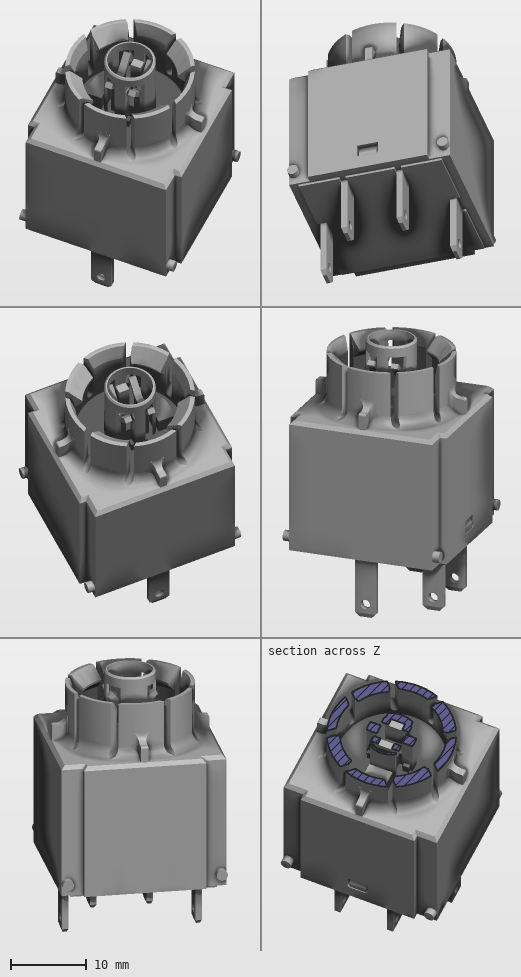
import cadquery as cq
import math

overall_height = 36.25
join_overlap = 0.35
arc_middle = 1 - math.sqrt(0.5)

body_size = 22.2
half_body = body_size / 2
body_height = 18.3
body_chamfer = 0.5
half_front_panel = 10.15
half_side_panel = 8.23
base_size = 19.73
base_thickness = 0.33

peg_diameter = 1.5
peg_y = half_body - peg_diameter / 2
peg_z = 1.75

latch_width = 2.9
latch_catch_width = 2.4
latch_bottom = 1.85
latch_ramp_start = 2.57
latch_top = 3.7
latch_face_depth = 0.1
latch_depth = 0.73
latch_corner = 0.45

pin_width = 2.9
pin_thickness = 0.87
pin_tip = 0.58
pin_tip_thinning = 0.18
pin_hole_diameter = 1.3
pin_hole_from_tip = 1.85
long_pin_length = 8.7
short_pin_length = 8.5
long_pin_y = 8.95
short_pin_x = -7.58
short_pin_y = 3.8

collar_radius = 8.6
bore_radius = 14.7 / 2
collar_top = 25.78
bore_floor = 17.65
flare_radius = 1.45
mouth_radius = 8.0
mouth_depth = 1.8
slot_width = 0.98
slot_offset = 3.0
slot_step = 0.05
slot_floor = body_height + slot_step
hook_radius = 6.3
hook_half_angle = 19.0
hook_lip_height = 0.3

rib_width = 0.98
rib_reach = half_body - body_chamfer
rib_top = 20.5
rib_corner = 0.3
rib_top_fillet = 1.27
rib_side_fillet = 0.5

key_outer_radius = 5.8
key_width = 3.35
key_top = 19.87

tube_radius = 6.8 / 2
tube_bore_radius = 6.05 / 2
tube_top = overall_height - long_pin_length
tube_chamfer = 0.2
window_top = 26.07
window_min_x = 0.73
window_min_y = 1.8

strip_half_x = 2.18
plate_half_y = 1.27
plate_half_x = 1.2
plate_top = 19.95
arm_flat_half = 0.8
arm_flat_z = 23.1
arm_peak_y = 2.85
arm_thickness = 0.73
tab_top = 24.3
tab_foot_y = 2.15
tab_foot_top = 18.85
neck_width = 0.5
tube_overlap = 0.18
wedge_low = 24.48


def box(x0, x1, y0, y1, z0, z1):
    """Box given by its limits along each axis."""
    return cq.Workplane("XY").box(x1 - x0, y1 - y0, z1 - z0, centered=False).translate((x0, y0, z0))


def disc(radius, z0, z1):
    """Cylinder on the lamp axis between two heights."""
    return cq.Workplane("XY").workplane(offset=z0).circle(radius).extrude(z1 - z0)


def rod_along_x(radius, y, z):
    """Round bar across the full width of the housing."""
    return cq.Workplane("YZ", origin=(-half_body, 0, 0)).center(y, z).circle(radius).extrude(body_size)


def make_body():
    """Block with notched corners, chamfered top, base plate relieved for the blades, and pegs."""
    body = box(-half_front_panel, half_front_panel, -half_body, half_body, 0, body_height)
    body = body.union(box(-half_body, half_body, -half_side_panel, half_side_panel, 0, body_height))
    body = body.faces(">Z").chamfer(body_chamfer)
    half_base = base_size / 2
    body = body.union(box(-half_base, half_base, -half_base, half_base, -base_thickness, join_overlap))
    half_pin = pin_width / 2
    half_notch = pin_thickness / 2
    for side in (-1, 1):
        long_notch = sorted((side * long_pin_y, side * half_base))
        body = body.cut(box(-half_pin, half_pin, *long_notch, -base_thickness, 0))
        short_notch = (side * short_pin_y - half_notch, side * short_pin_y + half_notch)
        body = body.cut(box(-half_base, short_pin_x, *short_notch, -base_thickness, 0))
    for y in (-peg_y, peg_y):
        body = body.union(rod_along_x(peg_diameter / 2, y, peg_z))
    return body


def make_latch_window():
    """Opening in the -X panel with rounded lower corners."""
    half = latch_width / 2
    window = box(-half_body, latch_depth - half_body, -half, half, latch_bottom, latch_top)
    return window.edges("|X and <Z").fillet(latch_corner)


def make_latch():
    """Catch inside the opening, its face sloping inwards towards the top."""
    face = latch_face_depth - half_body
    back = latch_depth - half_body
    profile = [
        (back, latch_bottom),
        (face, latch_bottom),
        (face, latch_ramp_start),
        (back, latch_top),
    ]
    return cq.Workplane("XZ").polyline(profile).close().extrude(latch_catch_width / 2, both=True)


def make_pin(x, y, length):
    """Blade hanging down, with a tapered tip and a cross hole."""
    half = pin_width / 2
    half_thick = pin_thickness / 2
    outline = [
        (-half, join_overlap),
        (half, join_overlap),
        (half, pin_tip - length),
        (half - pin_tip, -length),
        (pin_tip - half, -length),
        (-half, pin_tip - length),
    ]
    pin = cq.Workplane("XZ").polyline(outline).close().extrude(half_thick, both=True)
    half_tip = half_thick - pin_tip_thinning
    side_outline = [
        (-half_thick, join_overlap),
        (half_thick, join_overlap),
        (half_thick, pin_tip - length),
        (half_tip, -length),
        (-half_tip, -length),
        (-half_thick, pin_tip - length),
    ]
    pin = pin.intersect(cq.Workplane("YZ").polyline(side_outline).close().extrude(pin_width, both=True))
    hole = (
        cq.Workplane("XZ", origin=(0, half_thick, pin_hole_from_tip - length))
        .circle(pin_hole_diameter / 2)
        .extrude(pin_thickness)
    )
    return pin.cut(hole).translate((x, y, 0))


def make_collar():
    """Collar with a flared foot, a tapered mouth and four snap hooks on the diagonals."""
    flare_end = collar_radius + flare_radius
    bend = flare_radius * arc_middle
    collar = (
        cq.Workplane("XZ")
        .moveTo(bore_radius, bore_floor)
        .lineTo(flare_end, bore_floor)
        .lineTo(flare_end, body_height)
        .threePointArc((collar_radius + bend, body_height + bend), (collar_radius, body_height + flare_radius))
        .lineTo(collar_radius, collar_top)
        .lineTo(mouth_radius, collar_top)
        .lineTo(bore_radius, collar_top - mouth_depth)
        .close()
        .revolve(360, (0, 0), (0, 1))
    )
    for corner in range(4):
        collar = collar.union(make_hook().rotate((0, 0, 0), (0, 0, 1), 45 + 90 * corner))
    for angle in (45, 135):
        for offset in (-slot_offset, slot_offset):
            collar = collar.cut(make_slot(offset).rotate((0, 0, 0), (0, 0, 1), angle))
    return collar


def make_hook():
    """Snap hook centred on the +X axis, with 45 degree faces above and below its lip."""
    lip_z = collar_top - (mouth_radius - hook_radius)
    wall = (mouth_radius + collar_radius) / 2
    root_z = lip_z - hook_lip_height - (bore_radius - hook_radius)
    ring = (
        cq.Workplane("XZ")
        .polyline([
            (wall, collar_top),
            (mouth_radius, collar_top),
            (hook_radius, lip_z),
            (hook_radius, lip_z - hook_lip_height),
            (bore_radius, root_z),
            (wall, root_z),
        ])
        .close()
        .revolve(2 * hook_half_angle, (0, 0), (0, 1))
    )
    return ring.rotate((0, 0, 0), (0, 0, 1), -hook_half_angle)


def make_slot(offset):
    """Straight slot with a round floor, running along X through both sides of the collar."""
    radius = slot_width / 2
    axis_z = slot_floor + radius
    slot = rod_along_x(radius, offset, axis_z)
    return slot.union(box(-half_body, half_body, offset - radius, offset + radius, axis_z, collar_top))


def make_rib():
    """Rib on the +X side of the collar, blending upwards and sideways into the wall."""
    root = collar_radius - join_overlap
    wall = collar_radius
    corner_bend = rib_corner * arc_middle
    top_bend = rib_top_fillet * arc_middle
    profile = (
        cq.Workplane("XZ")
        .moveTo(root, bore_floor)
        .lineTo(rib_reach, bore_floor)
        .lineTo(rib_reach, rib_top - rib_corner)
        .threePointArc((rib_reach - corner_bend, rib_top - corner_bend), (rib_reach - rib_corner, rib_top))
        .lineTo(wall + rib_top_fillet, rib_top)
        .threePointArc((wall + top_bend, rib_top + top_bend), (wall, rib_top + rib_top_fillet))
        .lineTo(root, rib_top + rib_top_fillet)
        .close()
        .extrude(half_body, both=True)
    )
    half = rib_width / 2
    side_bend = rib_side_fillet * arc_middle
    blend_end = wall + rib_side_fillet
    plan = (
        cq.Workplane("XY")
        .workplane(offset=bore_floor)
        .moveTo(root, -half - rib_side_fillet)
        .lineTo(wall, -half - rib_side_fillet)
        .threePointArc((wall + side_bend, -half - side_bend), (blend_end, -half))
        .lineTo(rib_reach, -half)
        .lineTo(rib_reach, half)
        .lineTo(blend_end, half)
        .threePointArc((wall + side_bend, half + side_bend), (wall, half + rib_side_fillet))
        .lineTo(root, half + rib_side_fillet)
        .close()
        .extrude(collar_top - bore_floor)
    )
    return profile.intersect(plan)


def make_key():
    """Block on the collar floor beside the tube, with a round outer end."""
    foot = bore_floor - join_overlap
    half = key_width / 2
    key = disc(key_outer_radius, foot, key_top)
    return key.intersect(box(-half_body, -tube_radius, -half, half, foot, key_top))


def make_tube():
    """Thin tube with four tall windows between its pillars."""
    tube = disc(tube_radius, bore_floor - join_overlap, tube_top).faces(">Z").edges().chamfer(tube_chamfer)
    tube = tube.cut(disc(tube_bore_radius, bore_floor, tube_top))
    for x_sign in (-1, 1):
        for y_sign in (-1, 1):
            x_limits = sorted((x_sign * window_min_x, x_sign * half_body))
            y_limits = sorted((y_sign * window_min_y, y_sign * half_body))
            tube = tube.cut(box(*x_limits, *y_limits, bore_floor, window_top))
    return tube


def make_contacts():
    """Central plate, two spring strips rising at 45 degrees, two tabs and a wedge."""
    foot = bore_floor - join_overlap
    contacts = box(-plate_half_x, plate_half_x, -plate_half_y, plate_half_y, foot, plate_top)
    rise = arm_peak_y - arm_flat_half
    peak_z = arm_flat_z + rise
    drop = arm_thickness * math.sqrt(0.5)
    outer_half = [
        (arm_flat_half, arm_flat_z),
        (arm_peak_y, peak_z),
        (arm_peak_y + drop, peak_z - drop),
        (arm_flat_half + drop, arm_flat_z - drop),
        (arm_flat_half + drop, foot),
    ]
    mirrored_half = [(-y, z) for y, z in reversed(outer_half)]
    for x in (-strip_half_x, plate_half_x):
        strip = cq.Workplane("YZ").polyline(outer_half + mirrored_half).close()
        contacts = contacts.union(strip.extrude(strip_half_x - plate_half_x).translate((x, 0, 0)))
    tab_end = tube_radius - tube_overlap
    half_neck = neck_width / 2
    contacts = contacts.union(box(-half_neck, half_neck, -tab_end, tab_end, foot, plate_top))
    for side in (-1, 1):
        tab_limits = sorted((side * window_min_y, side * tab_end))
        contacts = contacts.union(box(-window_min_x, window_min_x, *tab_limits, foot, tab_top))
        foot_limits = sorted((side * tab_foot_y, side * tube_bore_radius))
        contacts = contacts.union(box(-plate_half_x, plate_half_x, *foot_limits, foot, tab_foot_top))
    wedge = (
        cq.Workplane("XZ")
        .polyline([
            (strip_half_x, foot),
            (tube_radius, foot),
            (tube_radius, wedge_low + tube_radius - strip_half_x),
            (strip_half_x, wedge_low),
        ])
        .close()
        .extrude(window_min_y, both=True)
        .intersect(disc(tab_end, foot, tube_top))
    )
    return contacts.union(wedge)


body = make_body().cut(make_latch_window()).union(make_latch())
for y in (-long_pin_y, long_pin_y):
    body = body.union(make_pin(0, y, long_pin_length))
for y in (-short_pin_y, short_pin_y):
    body = body.union(make_pin(short_pin_x, y, short_pin_length))
body = body.cut(disc(collar_radius, bore_floor, body_height))
collar = make_collar()
for quarter in range(4):
    collar = collar.union(make_rib().rotate((0, 0, 0), (0, 0, 1), 90 * quarter))
result = body.union(collar).union(make_key()).union(make_tube()).union(make_contacts())